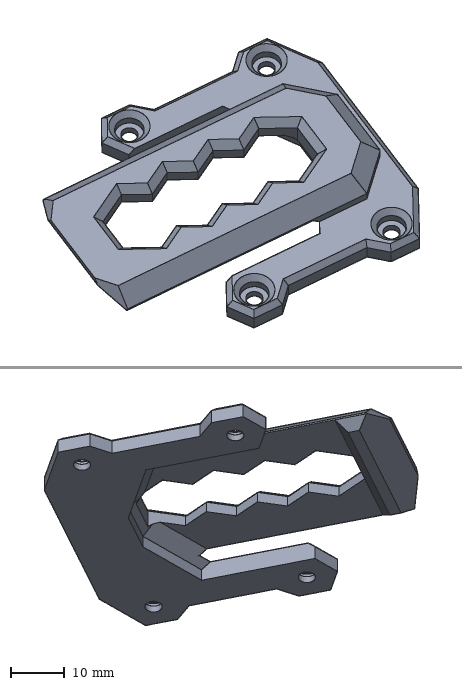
import cadquery as cq
import math

TAN30 = math.tan(math.radians(30))
COS30 = math.cos(math.radians(30))
TAN15 = math.tan(math.radians(15))
OVERCUT = 10.0

base_width = 55.0
base_thickness = 4.0
base_chamfer = 1.1
base_back_y = 24.0
hole_x = 22.5
hole_y = 15.0
pad_radius = base_width / 2 - hole_x
pad_tip = 6.0
pad_half_flat = pad_tip - pad_radius * TAN30
waist_inset = 3.3

screw_diameter = 3.2
bore_diameter = 5.5
bore_depth = 2.6
sink_diameter = 7.7
sink_depth = (sink_diameter - bore_diameter) / 2

plate_width = 30.2
plate_top_z = 9.0
plate_underside_z = 5.25
plate_back_y = 21.5
plate_front_y = -41.0
plate_back_corner = 7.4
plate_chamfer = 3.4

tip_height = 1.1
corner_start_y = -38.2
corner_end_x = 7.9

hook_bottom_z = 3.27
hook_bottom_depth = 2.2

notch_half_width = hole_x - pad_radius
notch_back_y = 11.5
notch_back_half_width = 4.6
overhang_z = 2.5

hexagon_count = 4
hexagon_pitch = 10.0
hexagon_first_y = 4.0
hexagon_apothem = 6.25
hexagon_chamfer = 1.5


def mirrored(right_side):
    """Close a right-hand chain of points with its mirror image in X."""
    return right_side + [(-x, y) for x, y in reversed(right_side) if x != 0]


def make_base():
    edge_x = base_width / 2
    waist_x = edge_x - waist_inset
    waist_y = hole_y - pad_half_flat - waist_inset
    corner_y = hole_y + pad_half_flat
    tip_y = -hole_y - pad_tip
    right_side = [
        (edge_x - (base_back_y - corner_y) / TAN30, base_back_y),
        (edge_x, corner_y),
        (edge_x, hole_y - pad_half_flat),
        (waist_x, waist_y),
        (waist_x, -waist_y),
        (edge_x, -hole_y + pad_half_flat),
        (edge_x, -hole_y - pad_half_flat),
        (hole_x, tip_y),
        (0, tip_y + hole_x * TAN30),
    ]
    blank = cq.Workplane("XY").polyline(mirrored(right_side)).close().extrude(base_thickness)
    return blank.faces(">Z").chamfer(base_chamfer)


def make_plate():
    """Chamfered slab standing on the base, overlong at the front."""
    half_width = plate_width / 2
    right_side = [
        (half_width - plate_back_corner, plate_back_y),
        (half_width, plate_back_y - plate_back_corner),
        (half_width, plate_front_y - OVERCUT),
    ]
    slab = (
        cq.Workplane("XY", origin=(0, 0, overhang_z))
        .polyline(mirrored(right_side))
        .close()
        .extrude(plate_top_z - overhang_z)
    )
    return slab.faces(">Z").chamfer(plate_chamfer)


def notch_section(z, inset):
    """Outline of the notch with its back walls brought forward by inset."""
    back_corner_x = notch_back_half_width - inset * TAN15
    back_y = notch_back_y - inset
    side_y = back_y - (notch_half_width - back_corner_x) * TAN30
    right_side = [
        (back_corner_x, back_y),
        (notch_half_width, side_y),
        (notch_half_width, plate_front_y - 2 * OVERCUT),
    ]
    return cq.Wire.makePolygon([cq.Vector(x, y, z) for x, y in mirrored(right_side)], close=True)


def make_notch():
    overhang = plate_underside_z - overhang_z
    upright = cq.Solid.extrudeLinear(notch_section(0, 0), [], cq.Vector(0, 0, overhang_z))
    sloped = cq.Solid.makeLoft(
        [notch_section(overhang_z, 0), notch_section(plate_underside_z, overhang)], True
    )
    return cq.Workplane(upright).union(cq.Workplane(sloped))


def make_hook():
    """Upside-down pyramid stump with 45 degree sides, flush with the sloped tip."""
    height = plate_underside_z - hook_bottom_z
    bottom_front_y = plate_front_y + (plate_top_z - tip_height - hook_bottom_z)
    return (
        cq.Workplane("XY", origin=(0, bottom_front_y + hook_bottom_depth / 2, plate_underside_z))
        .rect(plate_width, hook_bottom_depth + 2 * height)
        .workplane(offset=-height)
        .rect(plate_width - 2 * height, hook_bottom_depth)
        .loft(ruled=True)
    )


def make_tip_cut():
    """Everything in front of the vertical tip and its 45 degree underside."""
    tip_z = plate_top_z - tip_height
    profile = [
        (plate_front_y, plate_top_z + OVERCUT),
        (plate_front_y, tip_z),
        (plate_front_y + tip_z, 0),
        (plate_front_y - 2 * OVERCUT, 0),
        (plate_front_y - 2 * OVERCUT, plate_top_z + OVERCUT),
    ]
    return cq.Workplane("YZ").polyline(profile).close().extrude(plate_width, both=True)


def make_corner_cut():
    """Prism for the right front corner, swept parallel to the 45 degree side chamfer."""
    start_x = plate_width / 2 - plate_chamfer
    slope = (corner_start_y - plate_front_y) / (start_x - corner_end_x)
    near_x = corner_end_x - OVERCUT
    far_x = start_x + OVERCUT
    front_y = plate_front_y - OVERCUT * slope
    back_y = corner_start_y + OVERCUT * slope
    lift = OVERCUT
    triangle = [(near_x, front_y), (far_x, front_y), (far_x, back_y)]
    points = [cq.Vector(x - lift, y, plate_top_z + lift) for x, y in triangle]
    wire = cq.Wire.makePolygon(points, close=True)
    return cq.Workplane(cq.Solid.extrudeLinear(wire, [], cq.Vector(2 * lift, 0, -2 * lift)))


def make_hexagon_cut(center_y):
    inner_diameter = 2 * hexagon_apothem / COS30
    outer_diameter = 2 * (hexagon_apothem + hexagon_chamfer) / COS30
    through = cq.Workplane("XY").center(0, center_y).polygon(6, inner_diameter).extrude(plate_top_z)
    flare = (
        cq.Workplane("XY", origin=(0, center_y, plate_top_z - hexagon_chamfer))
        .polygon(6, inner_diameter)
        .workplane(offset=hexagon_chamfer)
        .polygon(6, outer_diameter)
        .loft(ruled=True)
    )
    return through.union(flare)


def make_screw_cut():
    """Through hole, counterbore and conical lead-in, revolved about Z."""
    bore_radius = bore_diameter / 2
    profile = [
        (0, 0),
        (screw_diameter / 2, 0),
        (screw_diameter / 2, base_thickness - bore_depth),
        (bore_radius, base_thickness - bore_depth),
        (bore_radius, base_thickness - sink_depth),
        (sink_diameter / 2, base_thickness),
        (0, base_thickness),
    ]
    return cq.Workplane("XZ").polyline(profile).close().revolve(360, (0, 0, 0), (0, 1, 0))


corner_cut = make_corner_cut()
result = make_base().union(make_plate()).cut(make_notch()).cut(make_tip_cut())
result = result.union(make_hook())
result = result.cut(corner_cut).cut(corner_cut.mirror("YZ"))

for index in range(hexagon_count):
    result = result.cut(make_hexagon_cut(hexagon_first_y - index * hexagon_pitch))

for x in (-hole_x, hole_x):
    for y in (-hole_y, hole_y):
        result = result.cut(make_screw_cut().translate((x, y, 0)))